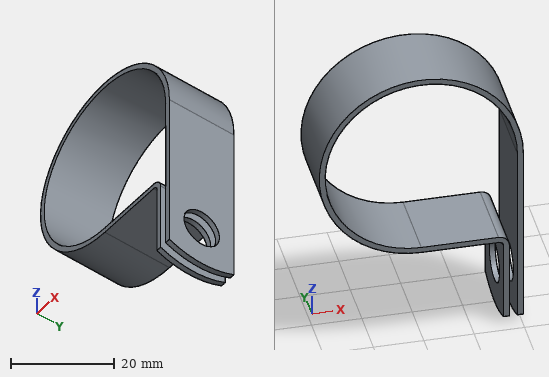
import cadquery as cq

overall_height = 59.85
loop_diameter = 40.55
band_width = 15.85
thickness = 1.2
tab_gap = 1.55
bend_inner_radius = 1.0
hole_diameter = 8.7
hole_to_tip = 9.6
tip_rise = 1.75

outer_radius = loop_diameter / 2
inner_radius = outer_radius - thickness
bend_outer_radius = bend_inner_radius + thickness
tip_z = outer_radius - overall_height
short_tab_outer_x = inner_radius - tab_gap
short_tab_inner_x = short_tab_outer_x - thickness
bend_x = short_tab_outer_x - bend_outer_radius
bend_z = -inner_radius - bend_outer_radius


def make_band():
    """Bent strip: long straight tab, three-quarter loop, flat shelf and short tab."""
    bend_center = cq.Vector(bend_x, bend_z)
    diagonal = cq.Vector(1, 1).normalized()
    bend_outer_mid = bend_center + diagonal * bend_outer_radius
    bend_inner_mid = bend_center + diagonal * bend_inner_radius
    loop_mid = cq.Vector(-1, 1).normalized()
    loop_outer_mid = loop_mid * outer_radius
    loop_inner_mid = loop_mid * inner_radius
    return (
        cq.Workplane("XZ")
        .moveTo(outer_radius, tip_z)
        .lineTo(outer_radius, 0)
        .threePointArc((loop_outer_mid.x, loop_outer_mid.y), (0, -outer_radius))
        .lineTo(bend_x, -outer_radius)
        .threePointArc((bend_inner_mid.x, bend_inner_mid.y), (short_tab_inner_x, bend_z))
        .lineTo(short_tab_inner_x, tip_z)
        .lineTo(short_tab_outer_x, tip_z)
        .lineTo(short_tab_outer_x, bend_z)
        .threePointArc((bend_outer_mid.x, bend_outer_mid.y), (bend_x, -inner_radius))
        .lineTo(0, -inner_radius)
        .threePointArc((loop_inner_mid.x, loop_inner_mid.y), (inner_radius, 0))
        .lineTo(inner_radius, tip_z)
        .close()
        .extrude(band_width / 2, both=True)
    )


def make_side_silhouette():
    """Block that limits the band to its width and rounds both tab ends."""
    half_width = band_width / 2
    return (
        cq.Workplane("YZ")
        .moveTo(-half_width, outer_radius)
        .lineTo(-half_width, tip_z + tip_rise)
        .threePointArc((0, tip_z), (half_width, tip_z + tip_rise))
        .lineTo(half_width, outer_radius)
        .close()
        .extrude(outer_radius, both=True)
    )


def make_bolt_hole():
    """Cylinder along X that passes through both tabs."""
    return (
        cq.Workplane("YZ")
        .center(0, tip_z + hole_to_tip)
        .circle(hole_diameter / 2)
        .extrude(outer_radius)
    )


result = make_band().intersect(make_side_silhouette()).cut(make_bolt_hole())